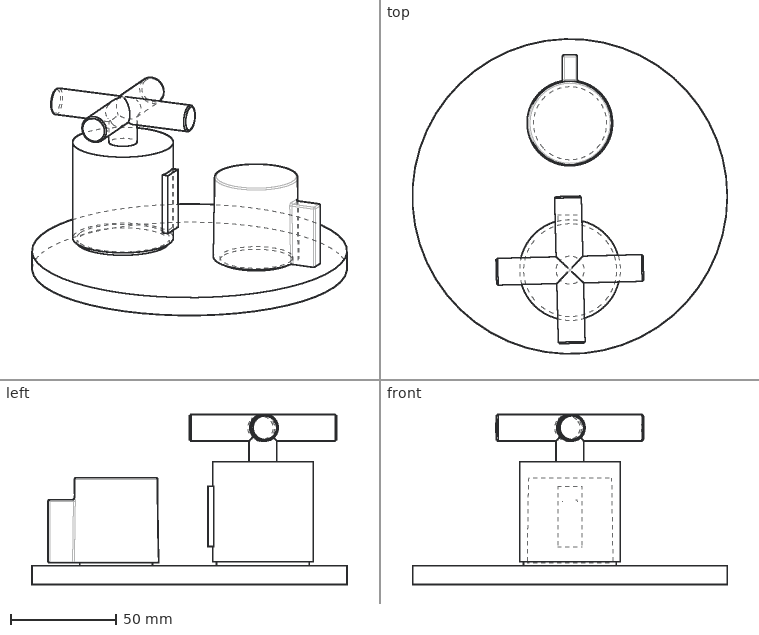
import cadquery as cq

plate_diameter = 150.0
plate_thickness = 9.0
total_height = 81.0

control_offset = 35.0

sleeve_diameter = 48.0
sleeve_bottom = 10.8
sleeve_top = 58.5
sleeve_neck_diameter = 44.2
marker_width = 11.4
marker_bottom = 18.0
marker_top = 46.8
marker_projection = 2.2
stem_diameter = 13.4
arm_diameter = 12.8
arm_span = 70.0
arm_end_chamfer = 0.8
cross_turn = 1.5
arm_axis_height = total_height - arm_diameter / 2

knob_bottom = 10.4
knob_top = 50.8
knob_bottom_radius = 20.4
knob_top_radius = 19.8
knob_top_fillet = 0.8
knob_bottom_fillet = 0.5
knob_neck_diameter = 34.8
lever_width = 7.0
lever_top = 40.4
lever_tip_y = 67.4
lever_edge_fillet = 0.8
lever_root_fillet = 0.9
root_reach = 1.5


def upright_cylinder(diameter, bottom, top, y=0.0):
    """Vertical cylinder on the X = 0 plane."""
    return cq.Workplane("XY", origin=(0, y, bottom)).circle(diameter / 2).extrude(top - bottom)


def block_along_y(width, y_start, y_end, bottom, top):
    """Upright block centred on X = 0."""
    return (
        cq.Workplane("XY", origin=(0, (y_start + y_end) / 2, bottom))
        .rect(width, y_end - y_start)
        .extrude(top - bottom)
    )


def make_plate():
    return upright_cylinder(plate_diameter, 0, plate_thickness)


def make_neck(diameter, top, y):
    """Short spacer disc between the plate and a control."""
    return upright_cylinder(diameter, plate_thickness, top, y)


def make_sleeve():
    """Round sleeve with a flat marker bar on its +Y side."""
    sleeve = upright_cylinder(sleeve_diameter, sleeve_bottom, sleeve_top, -control_offset)
    marker_face_y = -control_offset + sleeve_diameter / 2 + marker_projection
    marker = block_along_y(marker_width, -control_offset, marker_face_y, marker_bottom, marker_top)
    return sleeve.union(marker)


def make_arm(turn):
    """Full-span round bar with chamfered ends, turned about the stem axis."""
    bar = (
        cq.Workplane("YZ", origin=(-arm_span / 2, 0, arm_axis_height))
        .circle(arm_diameter / 2)
        .extrude(arm_span)
        .faces("<X or >X")
        .chamfer(arm_end_chamfer)
    )
    return bar.rotate((0, 0, 0), (0, 0, 1), turn).translate((0, -control_offset, 0))


def make_cross_handle():
    """Two crossed bars on a stem that rests on the sleeve."""
    handle = upright_cylinder(stem_diameter, sleeve_top, arm_axis_height, -control_offset)
    for quarter_turn in (0, 90):
        handle = handle.union(make_arm(cross_turn + quarter_turn))
    return handle


def make_knob():
    """Tapered knob with a lever on its +Y side, blended at the root."""
    body = (
        cq.Workplane("XY", origin=(0, control_offset, knob_bottom))
        .circle(knob_bottom_radius)
        .workplane(offset=knob_top - knob_bottom)
        .circle(knob_top_radius)
        .loft()
        .faces(">Z")
        .edges()
        .fillet(knob_top_fillet)
    )
    lever = (
        block_along_y(lever_width, control_offset, lever_tip_y, knob_bottom, lever_top)
        .edges(">Y or (|Y and >Z)")
        .fillet(lever_edge_fillet)
    )
    root_y = control_offset + knob_top_radius
    root_region = cq.selectors.BoxSelector(
        (-lever_width, root_y - root_reach, knob_bottom + root_reach),
        (lever_width, root_y + root_reach, lever_top + root_reach),
    )
    blended = body.union(lever).edges(root_region).fillet(lever_root_fillet)
    return blended.faces("<Z").edges().fillet(knob_bottom_fillet)


plate = make_plate()
sleeve_neck = make_neck(sleeve_neck_diameter, sleeve_bottom, -control_offset)
sleeve = make_sleeve()
cross_handle = make_cross_handle()
knob_neck = make_neck(knob_neck_diameter, knob_bottom, control_offset)
knob = make_knob()

result = cq.Compound.makeCompound(
    [
        plate.val(),
        sleeve_neck.val(),
        sleeve.val(),
        cross_handle.val(),
        knob_neck.val(),
        knob.val(),
    ]
)